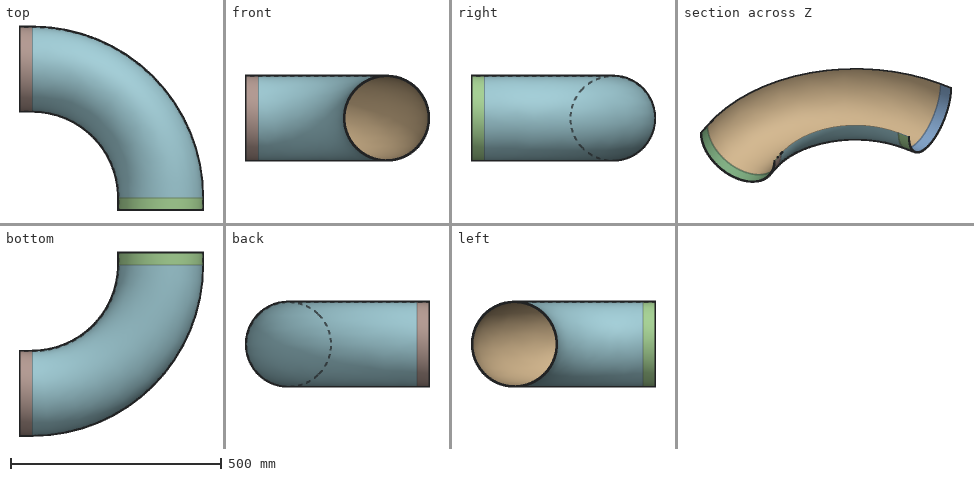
import cadquery as cq

overall_length = 436.5
outer_diameter = 203.5
inner_diameter = 199.0
bend_radius = 1.5 * outer_diameter
bend_angle = 90

collar_length = overall_length - bend_radius - outer_diameter / 2


def pipe_ring(plane):
    """Annular pipe section drawn on the given plane."""
    return cq.Workplane(plane).circle(outer_diameter / 2).circle(inner_diameter / 2)


x_mouth_plane = cq.Plane(origin=(bend_radius, 0, 0), xDir=(1, 0, 0), normal=(0, -1, 0))
y_mouth_plane = cq.Plane(origin=(0, bend_radius, 0), xDir=(0, 1, 0), normal=(-1, 0, 0))

bend = pipe_ring(x_mouth_plane).revolve(bend_angle, (-bend_radius, 0), (-bend_radius, 1))

collar_facing_minus_y = pipe_ring(x_mouth_plane).extrude(collar_length)
collar_facing_minus_x = pipe_ring(y_mouth_plane).extrude(collar_length)

result = bend.union(collar_facing_minus_y).union(collar_facing_minus_x)